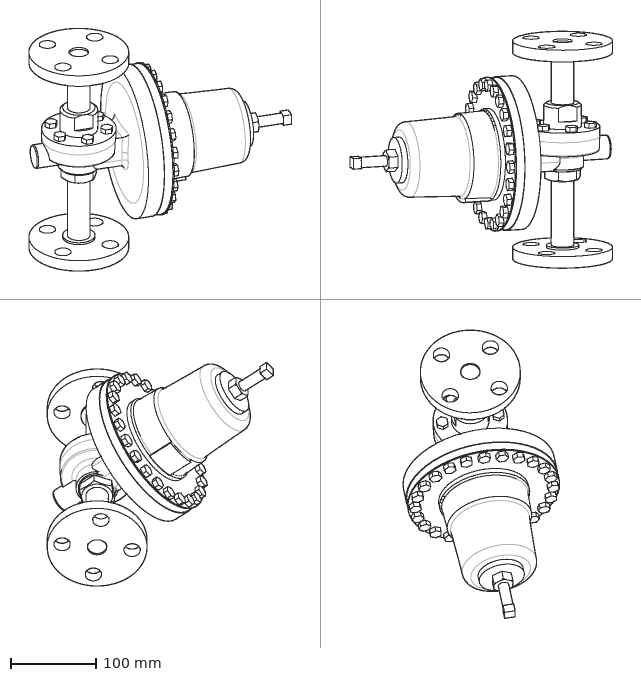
import cadquery as cq
import math

TOTAL_HEIGHT = 260.35
ACTUATOR_TIP_Y = 260.37

QUARTER_TURN_DEG = 90

PIPE_D = 26.67
FLANGE_D = 117.3
FLANGE_THICKNESS = 14.0
FLANGE_BORE_D = 22.6
FLANGE_BORE_DEPTH = 2.5
FLANGE_COLLAR_D = 38.1
FLANGE_COLLAR_HEIGHT = 2.5
FLANGE_HOLE_D = 19.05
FLANGE_BOLT_CIRCLE_D = 82.55
FLANGE_HOLE_COUNT = 4
FLANGE_FIRST_HOLE_DEG = 45

WRENCH_FLAT_WIDTH = 38.1
HUB_R = 22.2
HUB_TOP_Z = 56.3
HUB_CHAMFER_RADIAL = 3.2
HUB_CHAMFER_HEIGHT = 2.7
HUB_FLAT_BOTTOM_Z = 37.2
BONNET_R = 43.8
BONNET_TOP_Z = 28.3
BONNET_BOTTOM_Z = 16.8
BODY_BOTTOM_R = 43.0
BODY_BOTTOM_Z = -0.4
BODY_EDGE_ROUND = 1.5
BARREL_R = 24.7
BARREL_ROUND = 5.0
BARREL_BOTTOM_Z = -19.6
NECK_RING_R = 22.0
LOWER_NUT_TOP_Z = -22.4
LOWER_NUT_BOTTOM_Z = -34.8
LOWER_NUT_CHAMFER_RADIAL = 3.8
LOWER_NUT_CHAMFER_HEIGHT = 2.2

BONNET_BOLT_COUNT = 6
BONNET_BOLT_CIRCLE_R = 33.4
BONNET_BOLT_HEAD_WIDTH = 12.7
BONNET_BOLT_HEAD_HEIGHT = 5.7

PLUG_R = 14.1
PLUG_END_Y = -55.7
PLUG_CHAMFER_LENGTH = 1.6
PLUG_CHAMFER_RADIAL = 0.7

NECK_HALF_WIDTH = 22.4
NECK_TOP_Z = 20.0
NECK_BOTTOM_Z = -22.6
NECK_CORNER_R = 12.7
NECK_FILLET_R = 6.0

CASE_R = 90.5
CASE_FRONT_Y = 56.4
CASE_SPLIT_Y = 76.2
COVER_R = 89.6
RIM_FRONT_Y = 86.7
RIM_BACK_Y = 88.3
CONE_R = 71.8
CONE_TIP_Y = 48.7
CASE_BOLT_COUNT = 24
CASE_BOLT_CIRCLE_R = 82.2
CASE_BOLT_HEAD_WIDTH = 12.7
CASE_BOLT_TURN_DEG = -15
CASE_BOLT_HEAD_END_Y = 94.2

HOUSING_ROOT_R = 51.6
HOUSING_FOOT_TOP_Y = 94.0
HOUSING_FOOT_FILLET_R = 2.2
SHOULDER_R = 50.4
SHOULDER_Y = 126.0
DOME_BASE_R = 47.0
DOME_BASE_Y = 129.6
DOME_TOP_R = 44.5
DOME_TOP_Y = 199.8
DOME_EDGE_R = 9.0
BOSS_R = 26.9
BOSS_END_Y = 206.8

PLATE_R = 54.8
PLATE_SPAN_DEG = 40
PLATE_START_Y = HOUSING_FOOT_TOP_Y
PLATE_END_Y = SHOULDER_Y

LOCK_NUT_WIDTH = 22.6
LOCK_NUT_END_Y = 218.3
LOCK_NUT_CHAMFER = 1.2
SCREW_D = 12.7
SCREW_HEAD_START_Y = 250.3
SCREW_HEAD_WIDTH = 12.7


def across_corners(flat_width):
    return flat_width / math.cos(math.pi / 6)


def disc_along_y(radius, start_y, end_y):
    return cq.Workplane("XZ", origin=(0, start_y, 0)).circle(radius).extrude(start_y - end_y)


def hexagon_along_y(flat_width, start_y, end_y, turn_deg=0):
    """Hexagonal prism around the Y axis; at zero turn it has corners on the X axis."""
    prism = (
        cq.Workplane("XZ", origin=(0, start_y, 0))
        .polygon(6, across_corners(flat_width))
        .extrude(start_y - end_y)
    )
    return prism.rotate((0, 0, 0), (0, 1, 0), turn_deg)


def hexagon_along_z(flat_width, bottom_z, top_z, turn_deg=0):
    """Hexagonal prism around the Z axis; at zero turn it has corners on the X axis."""
    prism = (
        cq.Workplane("XY", origin=(0, 0, bottom_z))
        .polygon(6, across_corners(flat_width))
        .extrude(top_z - bottom_z)
    )
    return prism.rotate((0, 0, 0), (0, 0, 1), turn_deg)


def make_pipe_flange():
    """Upper pipe flange with its welding collar."""
    top_z = TOTAL_HEIGHT / 2
    bottom_z = top_z - FLANGE_THICKNESS
    disc = (
        cq.Workplane("XY", origin=(0, 0, bottom_z))
        .circle(FLANGE_D / 2)
        .extrude(FLANGE_THICKNESS)
        .faces(">Z")
        .workplane()
        .polarArray(FLANGE_BOLT_CIRCLE_D / 2, FLANGE_FIRST_HOLE_DEG, 360, FLANGE_HOLE_COUNT)
        .hole(FLANGE_HOLE_D)
    )
    collar = (
        cq.Workplane("XY", origin=(0, 0, bottom_z))
        .circle(FLANGE_COLLAR_D / 2)
        .extrude(-FLANGE_COLLAR_HEIGHT)
    )
    return disc.union(collar)


def make_pipe():
    """Straight pipe through the whole valve, with a flange on both ends."""
    flange = make_pipe_flange()
    recess_floor_z = TOTAL_HEIGHT / 2 - FLANGE_BORE_DEPTH
    recess = (
        cq.Workplane("XY", origin=(0, 0, recess_floor_z))
        .circle(FLANGE_BORE_D / 2)
        .extrude(FLANGE_BORE_DEPTH)
    )
    pipe = (
        cq.Workplane("XY", origin=(0, 0, -recess_floor_z))
        .circle(PIPE_D / 2)
        .extrude(2 * recess_floor_z)
    )
    flanged_pipe = pipe.union(flange).union(flange.mirror("XY"))
    return flanged_pipe.cut(recess).cut(recess.mirror("XY"))


def make_hub():
    """Round hub on the bonnet with a chamfered top and two wrench flats."""
    hub = (
        cq.Workplane("XY", origin=(0, 0, BONNET_BOTTOM_Z))
        .circle(HUB_R)
        .extrude(HUB_TOP_Z - BONNET_BOTTOM_Z)
        .faces(">Z")
        .chamfer(HUB_CHAMFER_HEIGHT, HUB_CHAMFER_RADIAL)
    )
    for side in (-1, 1):
        flat_cut = cq.Workplane("XY", origin=(side * WRENCH_FLAT_WIDTH, 0, HUB_FLAT_BOTTOM_Z)).box(
            WRENCH_FLAT_WIDTH,
            2 * HUB_R,
            HUB_TOP_Z - HUB_FLAT_BOTTOM_Z,
            centered=(True, True, False),
        )
        hub = hub.cut(flat_cut)
    return hub


def make_valve_body():
    """Bonnet, tapered body and barrel, turned around Z."""
    turned = (
        cq.Workplane("XZ")
        .moveTo(0, BONNET_TOP_Z)
        .lineTo(BONNET_R, BONNET_TOP_Z)
        .lineTo(BONNET_R, BONNET_BOTTOM_Z)
        .lineTo(BODY_BOTTOM_R, BODY_BOTTOM_Z + BODY_EDGE_ROUND)
        .radiusArc((BODY_BOTTOM_R - BODY_EDGE_ROUND, BODY_BOTTOM_Z), BODY_EDGE_ROUND)
        .lineTo(BARREL_R + BARREL_ROUND, BODY_BOTTOM_Z)
        .radiusArc((BARREL_R, BODY_BOTTOM_Z - BARREL_ROUND), -BARREL_ROUND)
        .lineTo(BARREL_R, BARREL_BOTTOM_Z)
        .lineTo(NECK_RING_R, BARREL_BOTTOM_Z)
        .lineTo(NECK_RING_R, LOWER_NUT_TOP_Z)
        .lineTo(0, LOWER_NUT_TOP_Z)
        .close()
        .revolve(360, (0, 0, 0), (0, 1, 0))
    )
    return turned.union(make_hub())


def make_lower_nut():
    """Hexagon under the barrel, its lower corners turned off."""
    nut_height = LOWER_NUT_TOP_Z - LOWER_NUT_BOTTOM_Z
    chamfered_disc = (
        cq.Workplane("XY", origin=(0, 0, LOWER_NUT_BOTTOM_Z))
        .circle(across_corners(WRENCH_FLAT_WIDTH) / 2)
        .extrude(nut_height)
        .faces("<Z")
        .chamfer(LOWER_NUT_CHAMFER_HEIGHT, LOWER_NUT_CHAMFER_RADIAL)
    )
    hexagon = hexagon_along_z(WRENCH_FLAT_WIDTH, LOWER_NUT_BOTTOM_Z, LOWER_NUT_TOP_Z, QUARTER_TURN_DEG)
    return hexagon.intersect(chamfered_disc)


def make_bonnet_bolts():
    """Hexagonal bolt heads standing on the bonnet."""
    head = hexagon_along_z(
        BONNET_BOLT_HEAD_WIDTH,
        BONNET_TOP_Z,
        BONNET_TOP_Z + BONNET_BOLT_HEAD_HEIGHT,
        QUARTER_TURN_DEG,
    )
    heads = cq.Workplane("XY")
    for index in range(BONNET_BOLT_COUNT):
        angle = 2 * math.pi * index / BONNET_BOLT_COUNT
        place = (BONNET_BOLT_CIRCLE_R * math.cos(angle), BONNET_BOLT_CIRCLE_R * math.sin(angle), 0)
        heads = heads.add(head.translate(place))
    return heads.combine()


def make_plug():
    """Round plug with a chamfered end."""
    return disc_along_y(PLUG_R, 0, PLUG_END_Y).faces("<Y").chamfer(PLUG_CHAMFER_LENGTH, PLUG_CHAMFER_RADIAL)


def make_case_and_neck():
    """Diaphragm case turned around Y, with the neck blended into its front cone."""
    case = (
        cq.Workplane("XY")
        .moveTo(0, CONE_TIP_Y)
        .lineTo(CONE_R, CASE_FRONT_Y)
        .lineTo(CASE_R, CASE_FRONT_Y)
        .lineTo(CASE_R, CASE_SPLIT_Y)
        .lineTo(COVER_R, CASE_SPLIT_Y)
        .lineTo(COVER_R, RIM_FRONT_Y)
        .lineTo(CASE_R, RIM_FRONT_Y)
        .lineTo(CASE_R, RIM_BACK_Y)
        .lineTo(0, RIM_BACK_Y)
        .close()
        .revolve(360, (0, 0, 0), (0, 1, 0))
    )
    neck = (
        cq.Workplane("XY", origin=(0, 0, NECK_BOTTOM_Z))
        .box(
            2 * NECK_HALF_WIDTH,
            CASE_SPLIT_Y,
            NECK_TOP_Z - NECK_BOTTOM_Z,
            centered=(True, False, False),
        )
        .edges("|Y and <Z")
        .fillet(NECK_CORNER_R)
    )
    margin = 1.0
    joint_zone = cq.selectors.BoxSelector(
        (-NECK_HALF_WIDTH - margin, CONE_TIP_Y - margin, NECK_BOTTOM_Z - margin),
        (NECK_HALF_WIDTH + margin, CASE_FRONT_Y - margin, NECK_TOP_Z + margin),
    )
    joined = case.union(neck)
    return joined.edges(joint_zone).fillet(NECK_FILLET_R)


def make_case_bolts():
    """Ring of hexagonal bolt heads on the back of the case cover."""
    heads = cq.Workplane("XY")
    head = hexagon_along_y(CASE_BOLT_HEAD_WIDTH, RIM_BACK_Y, CASE_BOLT_HEAD_END_Y, CASE_BOLT_TURN_DEG)
    head = head.translate((CASE_BOLT_CIRCLE_R, 0, 0))
    for index in range(CASE_BOLT_COUNT):
        heads = heads.add(head.rotate((0, 0, 0), (0, 1, 0), 360 * index / CASE_BOLT_COUNT))
    return heads.combine()


def make_spring_housing():
    """Tapered housing with a foot, a stepped waist, a rounded end and a boss, turned around Y."""
    foot_r = HOUSING_ROOT_R + HOUSING_FOOT_FILLET_R
    return (
        cq.Workplane("XY")
        .moveTo(0, RIM_BACK_Y)
        .lineTo(foot_r, RIM_BACK_Y)
        .lineTo(foot_r, HOUSING_FOOT_TOP_Y)
        .radiusArc((HOUSING_ROOT_R, HOUSING_FOOT_TOP_Y + HOUSING_FOOT_FILLET_R), HOUSING_FOOT_FILLET_R)
        .lineTo(SHOULDER_R, SHOULDER_Y)
        .radiusArc((DOME_BASE_R, DOME_BASE_Y), DOME_BASE_Y - SHOULDER_Y)
        .lineTo(DOME_TOP_R, DOME_TOP_Y - DOME_EDGE_R)
        .radiusArc((DOME_TOP_R - DOME_EDGE_R, DOME_TOP_Y), -DOME_EDGE_R)
        .lineTo(BOSS_R, DOME_TOP_Y)
        .lineTo(BOSS_R, BOSS_END_Y)
        .lineTo(0, BOSS_END_Y)
        .close()
        .revolve(360, (0, 0, 0), (0, 1, 0))
    )


def make_housing_plate():
    """Curved plate standing proud of the lowest side of the spring housing."""
    return (
        cq.Workplane("XY")
        .moveTo(0, PLATE_START_Y)
        .lineTo(PLATE_R, PLATE_START_Y)
        .lineTo(PLATE_R, PLATE_END_Y)
        .lineTo(0, PLATE_END_Y)
        .close()
        .revolve(PLATE_SPAN_DEG, (0, 0, 0), (0, 1, 0))
        .rotate((0, 0, 0), (0, 1, 0), QUARTER_TURN_DEG - PLATE_SPAN_DEG / 2)
    )


def make_adjusting_screw():
    """Lock nut, round screw and square head."""
    nut_disc = (
        disc_along_y(across_corners(LOCK_NUT_WIDTH) / 2, BOSS_END_Y, LOCK_NUT_END_Y)
        .faces(">Y")
        .chamfer(LOCK_NUT_CHAMFER)
    )
    hexagon = hexagon_along_y(LOCK_NUT_WIDTH, BOSS_END_Y, LOCK_NUT_END_Y, QUARTER_TURN_DEG)
    lock_nut = hexagon.intersect(nut_disc)
    screw = disc_along_y(SCREW_D / 2, BOSS_END_Y, SCREW_HEAD_START_Y)
    head = (
        cq.Workplane("XZ", origin=(0, SCREW_HEAD_START_Y, 0))
        .rect(SCREW_HEAD_WIDTH, SCREW_HEAD_WIDTH)
        .extrude(SCREW_HEAD_START_Y - ACTUATOR_TIP_Y)
    )
    return lock_nut.union(screw).union(head)


result = make_case_and_neck()
for part in (
    make_spring_housing(),
    make_housing_plate(),
    make_case_bolts(),
    make_adjusting_screw(),
    make_valve_body(),
    make_plug(),
    make_lower_nut(),
    make_bonnet_bolts(),
    make_pipe(),
):
    result = result.union(part)